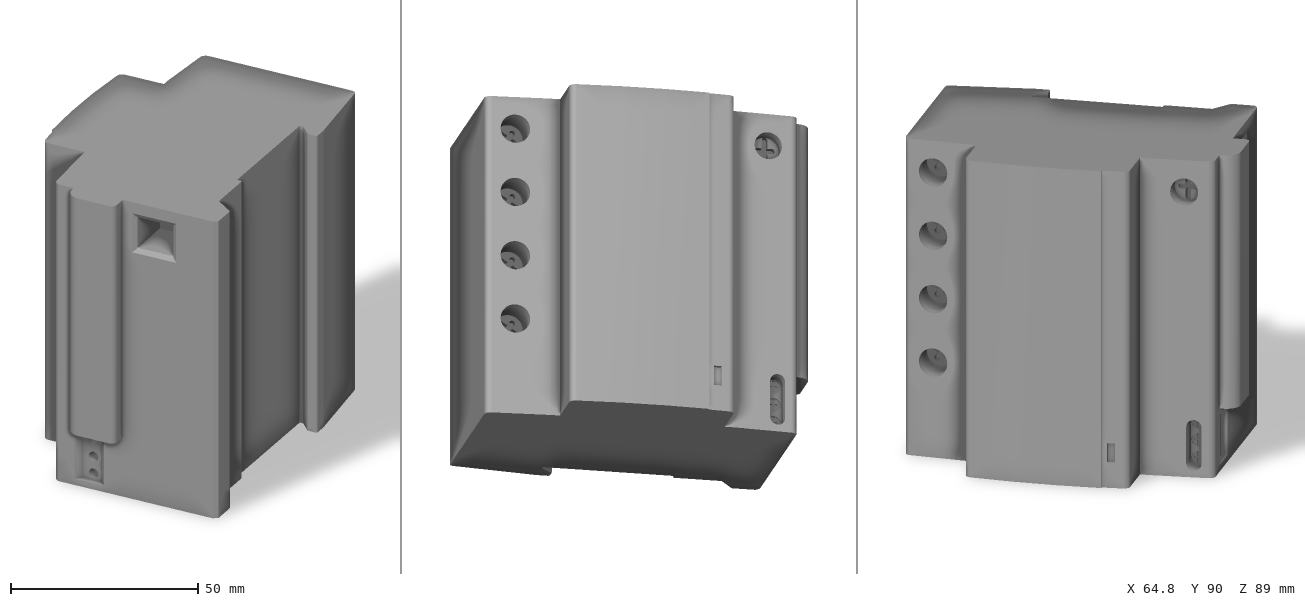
import cadquery as cq
import math


depth = 64.8
total_height = 90.0
width = 89.0
tab_drop = 4.9
module_count = 5
module_width = width / module_count
body_height = total_height - tab_drop
mid_y = body_height / 2

nose_height = 45.0
nose_top = mid_y + nose_height / 2
nose_bottom = mid_y - nose_height / 2
nose_radius = 216.0
nose_step_y = 27.3
nose_step = 0.5
shoulder_x = 14.4
shoulder_lean = 1.3
shoulder_flat = 2.5
corner_radius = 1.8

back_top_x = 61.8
hook_slope_end_y = 60.75
hook_tip_y = 57.15
hook_tip_x = 61.9
hook_tip_chamfer = 0.4
rail_x = 57.9
rail_top_y = 60.4
rail_notch_x = 58.95
rail_bottom_y = 24.7
foot_x = 59.4
foot_inner_y = 11.3
foot_outer_y = 7.5
foot_chamfer_x = 1.3
foot_chamfer_y = 0.9
small_radius = 0.5
back_radius = 1.2

tab_left = 21.6
tab_right = 36.4
tab_left_radius = 3.9
tab_right_radius = 1.5

recess_depth = 1.8
upper_screw_floor_x = 24.3
upper_screw_y = 77.1
upper_screw_diameter = 7.9
upper_screw_turn = 33.0
lower_screw_floor_x = 19.8
lower_screw_y = 8.1
lower_screw_diameter = 7.6
lower_screw_turn = 90.0
cross_width = 1.5
cross_length = 5.6

small_screw_y = 5.5
small_screw_pitch = 5.0
small_screw_middle_z = 9.0
small_screw_zs = [small_screw_middle_z + i * small_screw_pitch for i in (-1, 0, 1)]
small_slot_width = 4.1
small_slot_floor_x = 20.25
small_head_diameter = 3.8
small_head_depth = 0.45
small_cross_width = 0.7
small_cross_length = 2.3

window_y = 24.8
window_z = 9.8
window_width = 2.2
window_height = 5.4
window_floor_x = 2.4

entry_x = 45.8
entry_z = 79.8
entry_length = 13.3
entry_height = 11.7
entry_rim = 1.3
entry_rim_depth = 0.9
entry_depth = 13.5

block_x = 26.3
block_z = 8.9
block_length = 8.8
block_height = 14.0
block_floor_length = 5.6
block_depth = 1.6
block_hole_x = 26.7
block_hole_diameter = 2.8
block_hole_depth = 3.6


def nose_x(y):
    """Depth of the curved nose face at height y."""
    return nose_radius - math.sqrt(nose_radius**2 - (y - mid_y) ** 2)


def round_edges(solid, corners):
    """Round the upright edges at the given (x, y, radius) corners."""
    for x, y, radius in corners:
        nearest = cq.selectors.NearestToPointSelector((x, y, width / 2))
        solid = solid.edges("|Z").edges(nearest).fillet(radius)
    return solid


def make_body():
    lower_nose_mid = (nose_step_y + nose_bottom) / 2
    nose_top_x = nose_x(nose_top)
    nose_bottom_x = nose_x(nose_bottom) + nose_step
    outer_shoulder_x = shoulder_x + shoulder_lean
    body = (
        cq.Workplane("XY")
        .moveTo(nose_top_x, nose_top)
        .threePointArc((0, mid_y), (nose_x(nose_step_y), nose_step_y))
        .lineTo(nose_x(nose_step_y) + nose_step, nose_step_y)
        .threePointArc(
            (nose_x(lower_nose_mid) + nose_step, lower_nose_mid),
            (nose_bottom_x, nose_bottom),
        )
        .lineTo(shoulder_x, nose_bottom)
        .lineTo(shoulder_x, nose_bottom - shoulder_flat)
        .lineTo(outer_shoulder_x, 0)
        .lineTo(depth - foot_chamfer_x, 0)
        .lineTo(depth, foot_chamfer_y)
        .lineTo(depth, foot_outer_y)
        .lineTo(foot_x, foot_inner_y)
        .lineTo(foot_x, rail_bottom_y)
        .lineTo(rail_x, rail_bottom_y)
        .lineTo(rail_x, rail_top_y)
        .lineTo(rail_notch_x, rail_top_y)
        .lineTo(hook_tip_x, hook_tip_y)
        .lineTo(depth - hook_tip_chamfer, hook_tip_y)
        .lineTo(depth, hook_tip_y + hook_tip_chamfer)
        .lineTo(depth, hook_slope_end_y)
        .lineTo(back_top_x, body_height)
        .lineTo(outer_shoulder_x, body_height)
        .lineTo(shoulder_x, nose_top + shoulder_flat)
        .lineTo(shoulder_x, nose_top)
        .close()
        .extrude(width)
    )
    corners = [
        (nose_top_x, nose_top, corner_radius),
        (nose_bottom_x, nose_bottom, corner_radius),
        (outer_shoulder_x, 0, corner_radius),
        (outer_shoulder_x, body_height, corner_radius),
        (back_top_x, body_height, back_radius),
        (depth, foot_outer_y, small_radius),
        (foot_x, foot_inner_y, small_radius),
        (foot_x, rail_bottom_y, small_radius),
        (rail_notch_x, rail_top_y, small_radius),
    ]
    return round_edges(body, corners)


def make_tab():
    """Rounded tab under the body; it leaves the lowest module free."""
    overlap = 0.9
    tab = (
        cq.Workplane("XY", origin=(0, 0, module_width))
        .moveTo(tab_left, overlap)
        .lineTo(tab_left, -tab_drop)
        .lineTo(tab_right, -tab_drop)
        .lineTo(tab_right, overlap)
        .close()
        .extrude(width - module_width)
    )
    corners = [
        (tab_left, -tab_drop, tab_left_radius),
        (tab_right, -tab_drop, tab_right_radius),
    ]
    return round_edges(tab, corners)


def front_plane(x, y, z):
    """Plane facing the rail, for sketches in Y and Z."""
    return cq.Workplane("YZ", origin=(x, y, z))


def cross_recess(x, y, z, long_length, short_length, thickness, turn, recess):
    """Screw drive: a long slot crossed by a shorter one."""
    plane = front_plane(x, y, z)
    long_slot = plane.slot2D(long_length, thickness, turn).extrude(recess)
    short_slot = plane.slot2D(short_length, thickness, turn + 90).extrude(recess)
    return long_slot.union(short_slot)


def large_screw(floor_x, y, z, diameter, turn):
    hole = front_plane(0, y, z).circle(diameter / 2).extrude(floor_x)
    drive = cross_recess(
        floor_x, y, z, diameter, cross_length, cross_width, turn, recess_depth
    )
    return hole.union(drive)


def small_screws():
    slot_length = 2 * small_screw_pitch + small_slot_width
    cutter = (
        front_plane(0, small_screw_y, small_screw_middle_z)
        .slot2D(slot_length, small_slot_width, 90)
        .extrude(small_slot_floor_x)
    )
    drive_x = small_slot_floor_x + small_head_depth
    for z in small_screw_zs:
        head = (
            front_plane(small_slot_floor_x, small_screw_y, z)
            .circle(small_head_diameter / 2)
            .extrude(small_head_depth)
        )
        drive = cross_recess(
            drive_x, small_screw_y, z, small_head_diameter,
            small_cross_length, small_cross_width, 90, small_head_depth,
        )
        cutter = cutter.union(head).union(drive)
    return cutter


def indicator_window():
    return (
        front_plane(0, window_y, window_z)
        .rect(window_width, window_height)
        .extrude(window_floor_x)
    )


def bottom_plane(x, y, z):
    """Plane whose normal points up into the body from its underside."""
    return cq.Workplane(cq.Plane(origin=(x, y, z), xDir=(1, 0, 0), normal=(0, 1, 0)))


def wire_entry():
    inner_length = entry_length - 2 * entry_rim
    inner_height = entry_height - 2 * entry_rim
    funnel = (
        bottom_plane(entry_x, 0, entry_z)
        .rect(entry_length, entry_height)
        .workplane(offset=entry_rim_depth)
        .rect(inner_length, inner_height)
        .loft(ruled=True)
    )
    shaft = (
        bottom_plane(entry_x, entry_rim_depth, entry_z)
        .rect(inner_length, inner_height)
        .extrude(entry_depth - entry_rim_depth)
    )
    return funnel.union(shaft)


def terminal_block():
    cutter = (
        bottom_plane(block_x, 0, block_z)
        .rect(block_length, block_height)
        .workplane(offset=block_depth)
        .rect(block_floor_length, block_height)
        .loft(ruled=True)
    )
    for z in small_screw_zs:
        hole = (
            bottom_plane(block_hole_x, block_depth, z)
            .circle(block_hole_diameter / 2)
            .extrude(block_hole_depth)
        )
        cutter = cutter.union(hole)
    return cutter


result = make_body().union(make_tab())

for module in range(1, module_count):
    screw_z = (module + 0.5) * module_width
    result = result.cut(
        large_screw(
            upper_screw_floor_x, upper_screw_y, screw_z, upper_screw_diameter, upper_screw_turn
        )
    )

last_module_z = width - module_width / 2
result = result.cut(
    large_screw(
        lower_screw_floor_x, lower_screw_y, last_module_z, lower_screw_diameter, lower_screw_turn
    )
)
result = result.cut(small_screws())
result = result.cut(indicator_window())
result = result.cut(wire_entry())
result = result.cut(terminal_block())